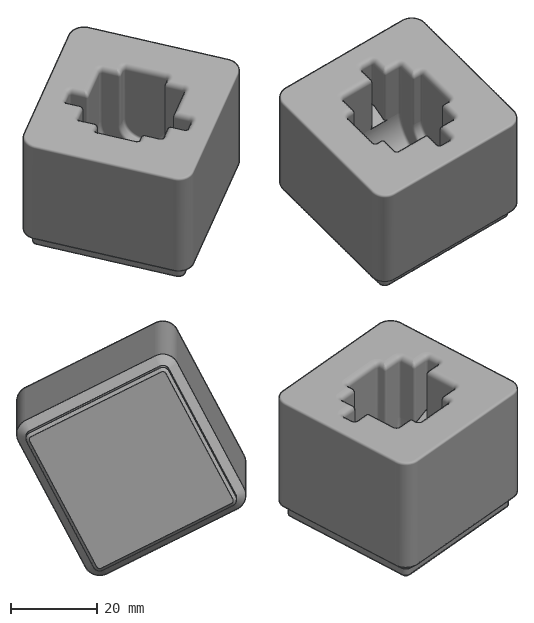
import cadquery as cq
import math

block_side = 41.5
block_height = 35.0
block_corner_radius = 3.75
upper_taper = 2.15
foot_wall_height = 1.8
lower_taper = 0.8
top_edge_radius = 0.6

floor_thickness = 7.0
roller_radius = 10.35
roller_half_length = 8.5
journal_radius = 5.35
journal_half_length = 11.0
roller_axis_z = floor_thickness + roller_radius

slot_half_length = 14.9
slot_width = 3.5
slot_offset_y = -2.25
slot_end_floor_z = 19.5
slot_floor_angle = 24.0

wall_edge_radius = 0.6
rim_radius = 1.5

overlap = 1.0
cutter_top_z = block_height + overlap
position_tolerance = 0.001


def rounded_prism(inset, bottom_z, height):
    """Square prism with rounded corners, set in from the block sides."""
    side = block_side - 2 * inset
    prism = cq.Workplane("XY").workplane(offset=bottom_z).rect(side, side).extrude(height)
    return prism.edges("|Z").fillet(block_corner_radius - inset)


def make_block():
    """Block with a tapered underside and rounded top edge, standing on its foot."""
    taper_start_z = lower_taper + foot_wall_height
    foot = rounded_prism(upper_taper, 0, taper_start_z + upper_taper)
    foot = foot.faces("<Z").chamfer(lower_taper)
    body = rounded_prism(0, taper_start_z, block_height - taper_start_z)
    body = body.faces("<Z").chamfer(upper_taper)
    body = body.faces(">Z").edges().fillet(top_edge_radius)
    return body.union(foot)


def trough(radius, half_length):
    """Cutter along Y: half-round bottom, vertical sides and rounded ends."""
    cutter = (
        cq.Workplane("XZ", origin=(0, half_length, 0))
        .moveTo(-radius, cutter_top_z)
        .lineTo(-radius, roller_axis_z)
        .threePointArc((0, roller_axis_z - radius), (radius, roller_axis_z))
        .lineTo(radius, cutter_top_z)
        .close()
        .extrude(2 * half_length)
    )
    return cutter.faces("<Y or >Y").edges("not(>Z)").fillet(wall_edge_radius)


def cross_slot():
    """Cutter along X with a V-shaped floor and rounded ends."""
    floor_drop = slot_half_length * math.tan(math.radians(slot_floor_angle))
    cutter = (
        cq.Workplane("XZ", origin=(0, slot_offset_y + slot_width / 2, 0))
        .moveTo(-slot_half_length, cutter_top_z)
        .lineTo(-slot_half_length, slot_end_floor_z)
        .lineTo(0, slot_end_floor_z - floor_drop)
        .lineTo(slot_half_length, slot_end_floor_z)
        .lineTo(slot_half_length, cutter_top_z)
        .close()
        .extrude(slot_width)
    )
    return cutter.faces("<X or >X").edges("not(>Z)").fillet(wall_edge_radius)


def cut_pocket(block):
    """Cut the roller, journal and slot recesses into the block."""
    pocket = trough(roller_radius, roller_half_length)
    pocket = pocket.union(trough(journal_radius, journal_half_length))
    return block.cut(pocket.union(cross_slot()))


def round_rim(block):
    """Round the mouth of the pocket where it meets the top face."""
    mouth_wires = block.faces(">Z").val().innerWires()
    mouth_edges = [edge for wire in mouth_wires for edge in wire.Edges()]
    return block.newObject(mouth_edges).fillet(rim_radius)


def round_outer_corners(block):
    """Round the corners where the journal recesses and the slot leave the roller recess."""
    corners = []
    for side in (-1, 1):
        for end in (-1, 1):
            corners.append((side * journal_radius, end * roller_half_length))
            corners.append((side * roller_radius, slot_offset_y + end * slot_width / 2))

    def is_corner(edge):
        center = edge.Center()
        return any(math.dist((center.x, center.y), corner) < position_tolerance for corner in corners)

    corner_edges = [edge for edge in block.edges("|Z").vals() if is_corner(edge)]
    return block.newObject(corner_edges).fillet(wall_edge_radius)


result = round_outer_corners(round_rim(cut_pocket(make_block())))